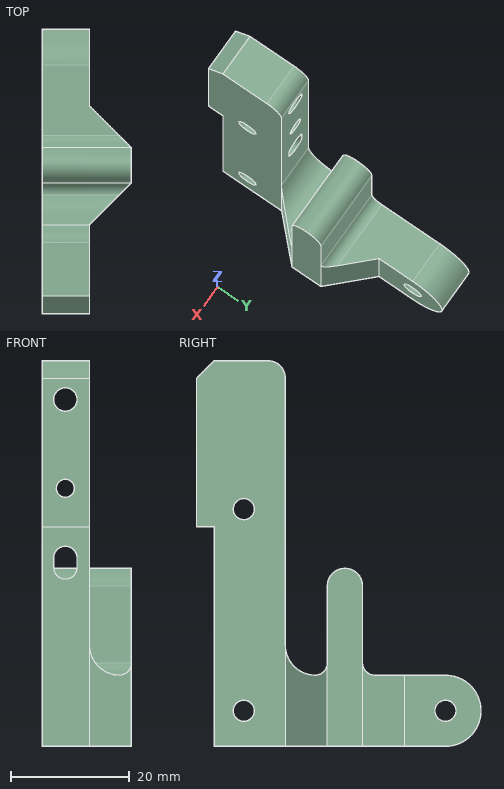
import cadquery as cq

height = 65.0
depth = 48.0
plate_thickness = 8.0
total_thickness = 15.0

lower_front = 3.0
step_height = 37.0
column_back = 15.0
column_chamfer = 3.0
column_top_radius = 3.0
arm_height = 12.0
arm_radius = arm_height / 2
column_foot_radius = 5.0
finger_foot_radius = 2.0
gap_floor_y = column_back + column_foot_radius
finger_front = gap_floor_y + finger_foot_radius
finger_width = 6.0
finger_back = finger_front + finger_width
finger_height = 30.0

flank = total_thickness - plate_thickness

cross_hole_diameter = 3.5
cross_hole_y = 8.0
cross_hole_top_z = 40.0
front_hole_x = 3.9
upper_hole_z = 58.45
upper_hole_diameter = 3.9
lower_hole_z = 43.5
lower_hole_diameter = 3.0
slot_z = 30.95
slot_width = 3.9
slot_length = 5.5


def make_profile():
    """Side outline of column, finger and arm, extruded along +X."""
    finger_tip_z = finger_height - finger_width / 2
    foot_z = arm_height + finger_foot_radius
    outline = (
        cq.Workplane("YZ")
        .moveTo(lower_front, 0)
        .lineTo(depth - arm_radius, 0)
        .threePointArc((depth, arm_radius), (depth - arm_radius, arm_height))
        .lineTo(finger_back + finger_foot_radius, arm_height)
        .radiusArc((finger_back, foot_z), finger_foot_radius)
        .lineTo(finger_back, finger_tip_z)
        .threePointArc(
            (finger_front + finger_width / 2, finger_height), (finger_front, finger_tip_z)
        )
        .lineTo(finger_front, foot_z)
        .radiusArc((gap_floor_y, arm_height), finger_foot_radius)
        .radiusArc((column_back, arm_height + column_foot_radius), column_foot_radius)
        .lineTo(column_back, height - column_top_radius)
        .radiusArc((column_back - column_top_radius, height), -column_top_radius)
        .lineTo(column_chamfer, height)
        .lineTo(0, height - column_chamfer)
        .lineTo(0, step_height)
        .lineTo(lower_front, step_height)
        .close()
    )
    return outline.extrude(total_thickness)


def make_plan_envelope():
    """Plan outline of the plate, with a trapezoid that thickens it around the finger."""
    return (
        cq.Workplane("XY")
        .lineTo(plate_thickness, 0)
        .lineTo(plate_thickness, finger_front - flank)
        .lineTo(total_thickness, finger_front)
        .lineTo(total_thickness, finger_back)
        .lineTo(plate_thickness, finger_back + flank)
        .lineTo(plate_thickness, depth)
        .lineTo(0, depth)
        .close()
        .extrude(height)
    )


def make_cross_holes():
    """Holes along X through the plate."""
    centres = [
        (cross_hole_y, arm_radius),
        (depth - arm_radius, arm_radius),
        (cross_hole_y, cross_hole_top_z),
    ]
    return (
        cq.Workplane("YZ")
        .pushPoints(centres)
        .circle(cross_hole_diameter / 2)
        .extrude(plate_thickness)
    )


def make_front_holes():
    """Two round holes and a vertical slot along Y through the column."""
    upper = (
        cq.Workplane("XZ")
        .center(front_hole_x, upper_hole_z)
        .circle(upper_hole_diameter / 2)
        .extrude(-column_back)
    )
    lower = (
        cq.Workplane("XZ")
        .center(front_hole_x, lower_hole_z)
        .circle(lower_hole_diameter / 2)
        .extrude(-column_back)
    )
    slot = (
        cq.Workplane("XZ")
        .center(front_hole_x, slot_z)
        .slot2D(slot_length, slot_width, 90)
        .extrude(-column_back)
    )
    return upper.union(lower).union(slot)


body = make_profile().intersect(make_plan_envelope())
result = body.cut(make_cross_holes()).cut(make_front_holes())